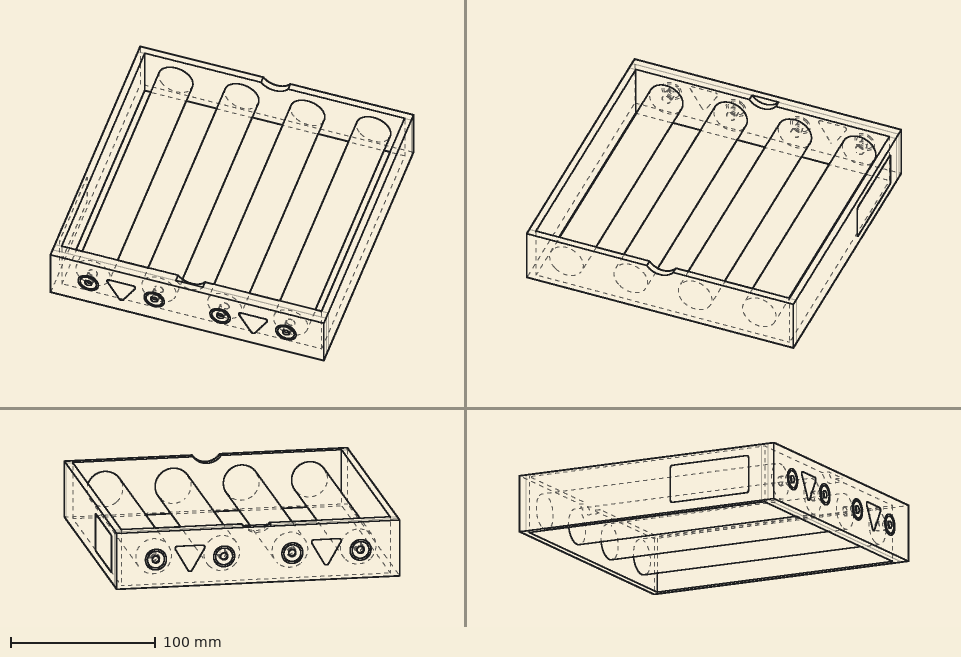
import cadquery as cq
import math

frame_width = 199.0
frame_depth = 199.0
frame_height = 40.0
plate_thickness = 5.0

front_y = -frame_depth / 2
cover_back_y = front_y + plate_thickness
inner_front_y = cover_back_y + plate_thickness
inner_back_y = frame_depth / 2 - plate_thickness
mid_z = frame_height / 2

bar_count = 4
bar_pitch = 48.0
bar_diameter = 25.0
shank_diameter = 6.0
head_diameter = 12.0
socket_diameter = 5.0
socket_depth = 2.0
bar_xs = [(i - (bar_count - 1) / 2) * bar_pitch for i in range(bar_count)]

countersink_diameter = 14.7
clearance_diameter = 6.5
head_base_y = front_y + (head_diameter - shank_diameter) / 2
countersink_base_y = front_y + (countersink_diameter - clearance_diameter) / 2

notch_diameter = 24.0
notch_width = 19.7

label_depth = 0.1
triangle_side = 23.0
triangle_corner_radius = 1.5
triangle_top_z = mid_z + 8.8
triangle_xs = [-bar_pitch, bar_pitch]
label_length = 61.0
label_height = 26.5
label_corner_radius = 1.5
label_front_gap = 10.0


def block(width, depth, x, y):
    """Full-height plate with its lower left front corner at (x, y, 0)."""
    return cq.Workplane("XY").box(width, depth, frame_height, centered=False).translate((x, y, 0))


def rod(diameter, y_start, y_end, x):
    """Cylinder along Y at mid height."""
    plane = cq.Workplane("XZ", origin=(x, y_start, mid_z))
    return plane.circle(diameter / 2).extrude(y_start - y_end)


def cone(diameter_start, diameter_end, y_start, y_end, x):
    """Cone along Y at mid height, from its wide front face to its narrow back face."""
    base_centre = cq.Vector(x, y_start, mid_z)
    along_y = cq.Vector(0, 1, 0)
    return cq.Workplane(
        cq.Solid.makeCone(diameter_start / 2, diameter_end / 2, y_end - y_start, base_centre, along_y)
    )


def notched_plate(y):
    """Cross plate with the arc-shaped notch in the middle of its top edge."""
    radius = notch_diameter / 2
    axis_z = frame_height + math.sqrt(radius**2 - (notch_width / 2) ** 2)
    cutter = cq.Workplane("XZ", origin=(0, y, axis_z)).circle(radius).extrude(-plate_thickness)
    return block(frame_width, plate_thickness, -frame_width / 2, y).cut(cutter)


def triangle_recess(x):
    """Cutter for a downward-pointing triangle with rounded corners in the cover face."""
    half_side = triangle_side / 2
    height = triangle_side * math.sqrt(3) / 2
    return (
        cq.Workplane("XZ", origin=(x, front_y, triangle_top_z))
        .polyline([(-half_side, 0), (half_side, 0), (0, -height)])
        .close()
        .extrude(-label_depth)
        .edges("|Y")
        .fillet(triangle_corner_radius)
    )


def side_label_recess():
    """Cutter for the rounded rectangle in the -X side plate."""
    return (
        cq.Workplane("XY")
        .box(label_depth, label_length, label_height, centered=(False, False, True))
        .edges("|X")
        .fillet(label_corner_radius)
        .translate((-frame_width / 2, inner_front_y + label_front_gap, mid_z))
    )


def make_cover():
    """Front cover with countersunk screw holes and triangular label recesses."""
    cover = block(frame_width, plate_thickness, -frame_width / 2, front_y)
    for x in triangle_xs:
        cover = cover.cut(triangle_recess(x))
    for x in bar_xs:
        cover = cover.cut(cone(countersink_diameter, clearance_diameter, front_y, countersink_base_y, x))
        cover = cover.cut(rod(clearance_diameter, countersink_base_y, cover_back_y, x))
    return cover


def make_inner_plate():
    """Notched plate behind the cover, with the screw holes."""
    plate = notched_plate(cover_back_y)
    for x in bar_xs:
        plate = plate.cut(rod(clearance_diameter, cover_back_y, inner_front_y, x))
    return plate


def make_side(x):
    """Side plate between the inner front plate and the back plate."""
    return block(plate_thickness, inner_back_y - inner_front_y, x, inner_front_y)


def make_frame():
    """One welded frame; the plates are joined without merging their faces, so the seams stay."""
    left_side = make_side(-frame_width / 2).cut(side_label_recess())
    right_side = make_side(frame_width / 2 - plate_thickness)
    frame = make_cover()
    for plate in (make_inner_plate(), left_side, right_side, notched_plate(inner_back_y)):
        frame = frame.union(plate, clean=False)
    return frame


def make_bar(x):
    """Bar spanning the frame, with its screw shank, flush conical head and round socket."""
    bar = rod(bar_diameter, inner_front_y, inner_back_y, x)
    shank = rod(shank_diameter, head_base_y, inner_front_y, x)
    head = cone(head_diameter, shank_diameter, front_y, head_base_y, x)
    socket = rod(socket_diameter, front_y, front_y + socket_depth, x)
    return bar.union(shank).union(head).cut(socket)


frame = make_frame()
bars = [make_bar(x) for x in bar_xs]

result = cq.Compound.makeCompound([frame.solids().val(), *[bar.val() for bar in bars]])